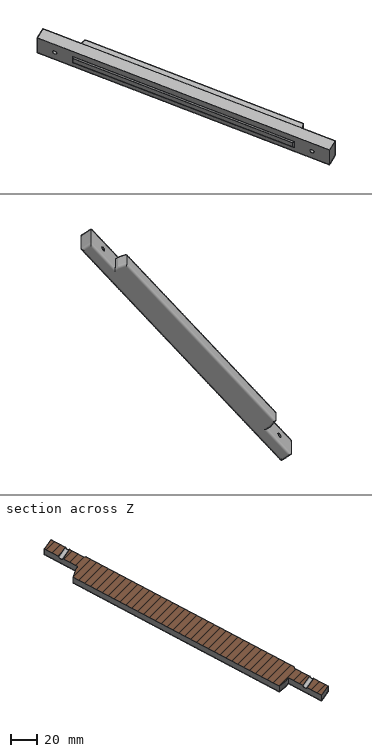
import cadquery as cq

length = 250.0
bar_depth = 10.0
height = 20.0
bottom_round = 2.0

ledge_depth = 10.0
ledge_height = 13.5
ledge_inset = 30.0
ledge_straight = 3.0
ledge_taper = 2.0
ledge_top_round = 2.0

panel_inset = 30.0
panel_height = 7.2
panel_thickness = 1.0
panel_slope = 45

hole_diameter = 3.5
hole_inset = 15.0

mid_height = height / 2
back_y = bar_depth + ledge_depth


def make_bar():
    return cq.Workplane("XY").box(length, bar_depth, height, centered=(True, False, False))


def make_ledge():
    """Ledge with straight end roots that taper inwards towards the rear."""
    root_x = length / 2 - ledge_inset
    tip_x = root_x - ledge_taper
    taper_y = bar_depth + ledge_straight
    outline = [
        (-root_x, bar_depth),
        (root_x, bar_depth),
        (root_x, taper_y),
        (tip_x, back_y),
        (-tip_x, back_y),
        (-root_x, taper_y),
    ]
    ledge = cq.Workplane("XY").polyline(outline).close().extrude(ledge_height)
    return ledge.faces(">Y").edges(">Z").fillet(ledge_top_round)


def make_panel():
    """Raised panel whose four sides slope inwards."""
    return (
        cq.Workplane("XZ", origin=(0, 0, mid_height))
        .rect(length - 2 * panel_inset, panel_height)
        .extrude(panel_thickness, taper=panel_slope)
    )


def make_holes():
    hole_x = length / 2 - hole_inset
    return (
        cq.Workplane("XZ", origin=(0, 0, mid_height))
        .pushPoints([(-hole_x, 0), (hole_x, 0)])
        .circle(hole_diameter / 2)
        .extrude(-bar_depth)
    )


body = make_bar().union(make_ledge())
body = body.faces("<Z").edges().fillet(bottom_round)
result = body.union(make_panel()).cut(make_holes())